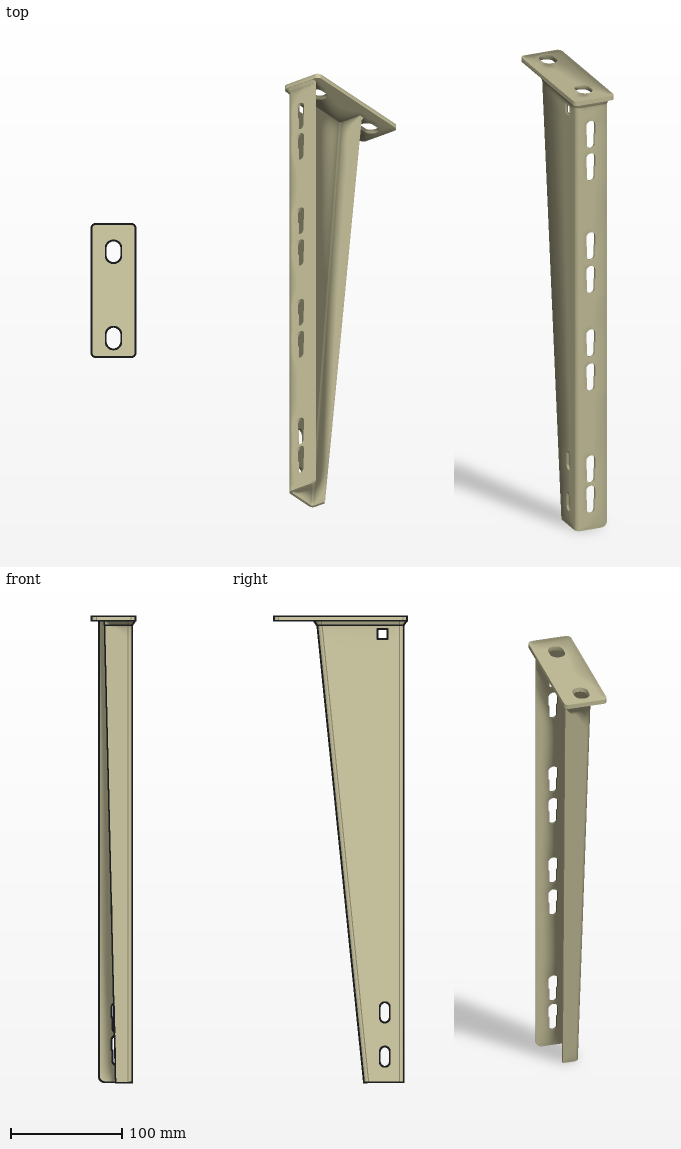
import cadquery as cq
import math

total_height = 420.2
plate_width = 40.0
plate_length = 120.0
plate_thickness = 4.0
plate_corner_radius = 4.0
plate_slot_width = 14.0
plate_slot_length = 20.0
plate_slot_rear_inset = 25.2
plate_slot_pitch = 77.7

sheet = 2.5
bend_inner_radius = 1.5
bend_outer_radius = bend_inner_radius + sheet
channel_width = 30.3
channel_depth_top = 78.5
channel_depth_bottom = 36.0
channel_side_margin = 3.0
channel_rear_margin = 3.0
front_flange_top_width = 25.2
front_flange_bottom_width = 15.0
rear_flange_corner_radius = 5.5
weld_width = 2.5
weld_height = 3.8

web_slot_width = 9.0
web_slot_length = 18.0
web_slot_inset = 17.2
web_slot_heights = (23.5, 63.5)
square_hole_size = 9.0
square_hole_inset = 19.5
square_hole_height = 404.3

keyhole_wide = 9.0
keyhole_narrow = 7.0
keyhole_length = 27.0
keyhole_inset = 16.0
keyhole_heights = (29.5, 59.0, 148.5, 181.5, 243.5, 276.0, 353.0, 384.5)

plate_bottom = total_height - plate_thickness
web_x = plate_width / 2 - channel_side_margin
free_edge_x = web_x - channel_width
rear_y = plate_length / 2 - channel_rear_margin
front_top_y = rear_y - channel_depth_top
front_bottom_y = rear_y - channel_depth_bottom
slope = (front_bottom_y - front_top_y) / plate_bottom
slope_length = math.hypot(1.0, slope)
foot_rise = bend_outer_radius * slope


def make_plate():
    """Flat plate with rounded corners and two slots along Y."""
    plate = (
        cq.Workplane("XY", origin=(0, 0, plate_bottom))
        .rect(plate_width, plate_length)
        .extrude(plate_thickness)
        .edges("|Z")
        .fillet(plate_corner_radius)
    )
    rear_slot_y = plate_length / 2 - plate_slot_rear_inset
    slots = (
        cq.Workplane("XY", origin=(0, 0, plate_bottom))
        .pushPoints([(0, rear_slot_y), (0, rear_slot_y - plate_slot_pitch)])
        .slot2D(plate_slot_length, plate_slot_width, 90)
        .extrude(plate_thickness)
    )
    return plate.cut(slots)


def channel_block(inset, left_x, corner_radius):
    """Wedge inset from the channel outline, reaching left_x, with its two +X corners rounded."""
    front_inset = inset * slope_length
    block = (
        cq.Workplane("YZ", origin=(left_x, 0, 0))
        .polyline([
            (rear_y - inset, 0),
            (rear_y - inset, plate_bottom),
            (front_top_y + front_inset, plate_bottom),
            (front_bottom_y + front_inset, 0),
        ])
        .close()
        .extrude(web_x - inset - left_x)
    )
    return block.faces(">X").edges("not |Y").fillet(corner_radius)


def weld_bead():
    """Tapering bead under the plate along the rear flange, the web and the front flange."""
    corner_radius = bend_outer_radius + weld_width
    taper = math.degrees(math.atan(weld_width / weld_height))
    right_x = web_x + weld_width
    left_x = free_edge_x - 2 * corner_radius
    outline = (
        cq.Sketch()
        .rect(right_x - left_x, channel_depth_top + 2 * weld_width)
        .vertices()
        .fillet(corner_radius)
    )
    centre = ((left_x + right_x) / 2, (rear_y + front_top_y) / 2, plate_bottom)
    bead = cq.Workplane("XY", origin=centre).placeSketch(outline).extrude(-weld_height, taper=taper)
    left_trim = (
        cq.Workplane("XY", origin=(free_edge_x - plate_width, 0, plate_bottom))
        .box(plate_width, 2 * plate_length, 2 * weld_height, centered=(False, True, True))
    )
    return bead.cut(left_trim)


def front_flange_trim():
    """Prism along Y that tapers the free edge of the front flange."""
    start_y = rear_y - bend_outer_radius
    outside_x = free_edge_x - bend_outer_radius
    return (
        cq.Workplane("XZ", origin=(0, start_y, 0))
        .polyline([
            (outside_x, 0),
            (web_x - front_flange_bottom_width, 0),
            (web_x - front_flange_top_width, plate_bottom),
            (outside_x, plate_bottom),
        ])
        .close()
        .extrude(plate_length)
    )


def rear_flange_plane():
    """Plane on the outer rear face, local X along +X and local Y up."""
    return cq.Workplane("XZ", origin=(0, rear_y, 0))


def keyhole_slots():
    """Vertical slots through the rear flange."""
    slot_x = free_edge_x + keyhole_inset
    centres = [(slot_x, z) for z in keyhole_heights]
    narrow = (
        rear_flange_plane()
        .pushPoints(centres)
        .slot2D(keyhole_length, keyhole_narrow, 90)
        .extrude(sheet)
    )
    wide_length = (keyhole_length - keyhole_wide) / 2
    wide_ends = (
        rear_flange_plane()
        .pushPoints([(x, z + wide_length) for x, z in centres])
        .circle(keyhole_wide / 2)
        .extrude(sheet)
    )
    wide_sides = (
        rear_flange_plane()
        .pushPoints([(x, z + wide_length / 2) for x, z in centres])
        .rect(keyhole_wide, wide_length)
        .extrude(sheet)
    )
    return narrow.union(wide_ends).union(wide_sides)


def rear_flange_corner():
    """Waste outside the rounded lower free corner of the rear flange."""
    r = rear_flange_corner_radius
    disc = rear_flange_plane().circle(r).extrude(sheet)
    square_end = rear_flange_plane().center(-r / 2, -r / 2).rect(r, r).extrude(sheet)
    return square_end.cut(disc).translate((free_edge_x + r, 0, foot_rise + r))


def foot_waste():
    """Sliver under the web and rear flange; the front flange end stays square to its slope."""
    return (
        cq.Workplane("YZ", origin=(free_edge_x, 0, 0))
        .polyline([
            (rear_y, 0),
            (rear_y, foot_rise),
            (front_bottom_y + bend_outer_radius, foot_rise),
            (front_bottom_y, 0),
        ])
        .close()
        .extrude(channel_width)
    )


def web_holes():
    """Two vertical slots near the lower end and one square hole under the plate."""
    web_plane = cq.Workplane("YZ", origin=(web_x - sheet, 0, 0))
    slots = (
        web_plane
        .pushPoints([(rear_y - web_slot_inset, z) for z in web_slot_heights])
        .slot2D(web_slot_length, web_slot_width, 90)
        .extrude(sheet)
    )
    square = (
        web_plane
        .center(rear_y - square_hole_inset, square_hole_height)
        .rect(square_hole_size, square_hole_size)
        .extrude(sheet)
    )
    return slots.union(square)


def make_bracket():
    """Tapered channel with its weld bead, trimmed front flange and holes."""
    outer = channel_block(0, free_edge_x, bend_outer_radius)
    cavity = channel_block(sheet, free_edge_x - bend_outer_radius, bend_inner_radius)
    return (
        outer.union(weld_bead())
        .cut(cavity)
        .cut(front_flange_trim())
        .cut(keyhole_slots())
        .cut(foot_waste())
        .cut(rear_flange_corner())
        .cut(web_holes())
    )


plate = make_plate()
bracket = make_bracket()
result = cq.Compound.makeCompound([plate.val(), bracket.val()])